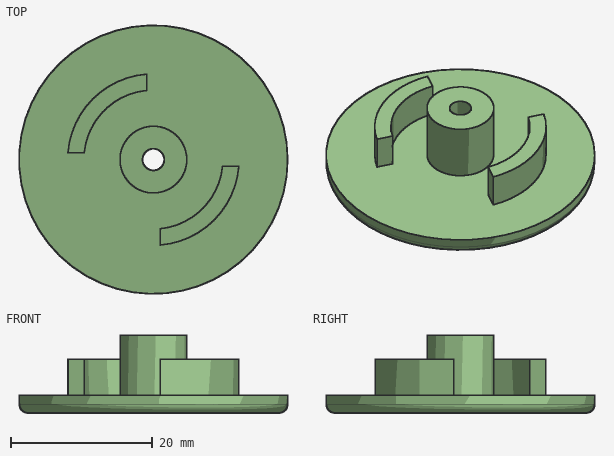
import cadquery as cq

disc_diameter = 38.1
disc_thickness = 2.54
bottom_edge_radius = 1.27

hub_diameter = 9.47
bore_diameter = 3.04
total_height = 11.05

rib_outer_radius = 12.15
rib_inner_radius = 9.85
rib_axis_setback = 0.97
rib_height = 5.12


def make_disc():
    """Flat disc with a rounded bottom edge."""
    disc = cq.Workplane("XY").circle(disc_diameter / 2).extrude(disc_thickness)
    return disc.faces("<Z").edges().fillet(bottom_edge_radius)


def make_hub():
    """Cylinder rising from the underside of the disc to the full height."""
    return cq.Workplane("XY").circle(hub_diameter / 2).extrude(total_height)


def make_rib(x_direction, y_direction):
    """Quarter-ring rib on the disc, in the quadrant given by the two signs."""
    disc_top = cq.Workplane("XY").workplane(offset=disc_thickness)
    ring = disc_top.circle(rib_outer_radius).circle(rib_inner_radius).extrude(rib_height)
    quadrant_center = rib_axis_setback + rib_outer_radius / 2
    quadrant = (
        disc_top.center(x_direction * quadrant_center, y_direction * quadrant_center)
        .rect(rib_outer_radius, rib_outer_radius)
        .extrude(rib_height)
    )
    return ring.intersect(quadrant)


def make_bore():
    """Cutting cylinder for the bore through hub and disc."""
    return cq.Workplane("XY").circle(bore_diameter / 2).extrude(total_height)


body = make_disc().union(make_hub())
for x_direction, y_direction in ((-1, 1), (1, -1)):
    body = body.union(make_rib(x_direction, y_direction))

result = body.cut(make_bore())